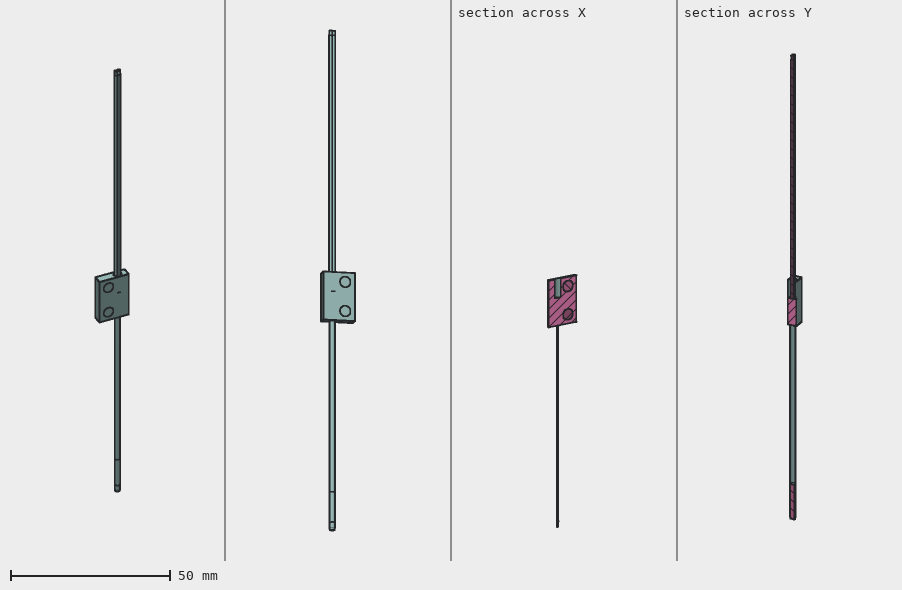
import cadquery as cq

overall_length = 159.95
block_thickness = 3.12
block_width = 10.3
block_height = 15.5
block_chamfer = 0.1
block_top = block_height / 2
block_bottom = -block_height / 2

pin_radius = 1.7
pin_y = -1.95
pin_heights = [4.7, -4.65]

cable_y = 1.88

socket_radius = 1.3
socket_depth = 6.2
socket_floor = block_top - socket_depth

wire_top = block_top + 77.52
jacket_radius = 0.52
conductor_radius = 0.485
bare_length = 1.5
jacket_top = wire_top - bare_length
wire_positions = [cable_y - jacket_radius, cable_y + jacket_radius]

probe_bottom = wire_top - overall_length
probe_radius = 0.9
probe_bore_radius = 0.8
bore_floor = probe_bottom + 12.1
tip_radius = 0.89
tip_length = 2.4
tip_top = probe_bottom + tip_length
tip_taper_length = 0.75
tip_taper_depth = 0.13


def upright_cylinder(radius, bottom, top, y):
    """Cylinder along Z with its axis in the X = 0 plane."""
    plane = cq.Workplane("XY", origin=(0, y, bottom))
    return plane.circle(radius).extrude(top - bottom)


def make_pin(height):
    """Pin through the full thickness of the block."""
    plane = cq.Workplane("YZ", origin=(0, pin_y, height))
    return plane.circle(pin_radius).extrude(block_thickness / 2, both=True)


def make_block(pins):
    """Chamfered block with a matching hole for each pin and the wire socket."""
    body = cq.Workplane("XY").box(block_thickness, block_width, block_height)
    body = body.edges().chamfer(block_chamfer)
    for pin in pins:
        body = body.cut(pin)
    socket = upright_cylinder(socket_radius, socket_floor, block_top, cable_y)
    return body.cut(socket)


def make_conductor(y):
    """Wire core, bare above the end of its jacket."""
    return upright_cylinder(conductor_radius, socket_floor, wire_top, y)


def make_jacket(y):
    """Insulating sleeve around one conductor."""
    sleeve = upright_cylinder(jacket_radius, socket_floor, jacket_top, y)
    return sleeve.cut(make_conductor(y))


def make_probe():
    """Tube with a blind bore and a slightly narrower solid tip, tapered at the end."""
    tube = upright_cylinder(probe_radius, tip_top, block_bottom, cable_y)
    tip = upright_cylinder(tip_radius, probe_bottom, tip_top, cable_y)
    tip = tip.faces("<Z").edges().chamfer(tip_taper_length, tip_taper_depth)
    bore = upright_cylinder(probe_bore_radius, bore_floor, block_bottom, cable_y)
    return tube.union(tip).cut(bore)


pins = [make_pin(height) for height in pin_heights]
block = make_block(pins)
jackets = [make_jacket(y) for y in wire_positions]
conductors = [make_conductor(y) for y in wire_positions]
probe = make_probe()

bodies = [block, *pins, *jackets, *conductors, probe]
result = cq.Compound.makeCompound([body.val() for body in bodies])